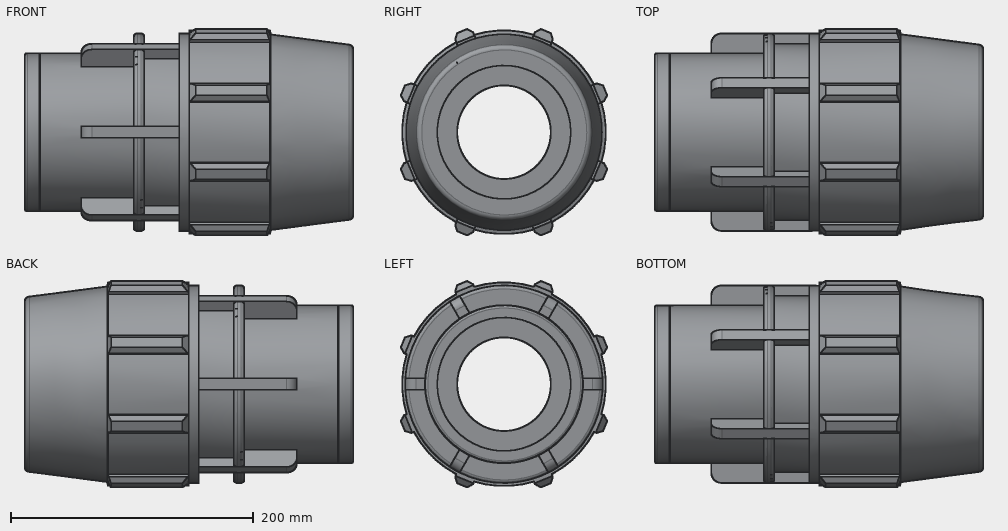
import cadquery as cq

LENGTH = 271.0
GROOVE_START = 12.2
GROOVE_WIDTH = 0.5
RIB_START = 46.5
RING_START = 90.0
RING_WIDTH = 8.7
COLLAR_START = 127.5
NUT_START = 135.8
NUT_END = 202.2
SLEEVE_START = 203.0

WEB_START = 50.5
WEB_END = 58.0

BORE_RADIUS = 77.0 / 2
SOCKET_RADIUS = 110.0 / 2
SPIGOT_RADIUS = 130.4 / 2
COLLAR_RADIUS = 163.0 / 2
NECK_RADIUS = 73.0
NUT_RADIUS = 84.0
SLEEVE_START_RADIUS = 80.8
SLEEVE_END_RADIUS = 71.8

MOUTH_FILLET = 2.2
RING_FILLET = 2.7
SLEEVE_FILLET = 4.3
GROOVE_DEPTH = 0.3

RIB_COUNT = 6
RIB_THICKNESS = 9.5
RIB_FILLET = 8.7
RIB_ROOT = 59.5

LUG_COUNT = 8
LUG_HEIGHT = 90.2
LUG_ROOT = 78.5
LUG_SHOULDER = 86.0
LUG_FRONT_FOOT = 85.0
LUG_REAR_FOOT = 83.0
LUG_TOP_WIDTH = 9.0
LUG_BASE_WIDTH = 16.0
LUG_FRONT_BEVEL = 5.1
LUG_REAR_BEVEL = 2.5


def disc(start, end, radius):
    """Solid cylinder about the X axis between two axial positions."""
    return cq.Workplane("YZ").workplane(offset=start).circle(radius).extrude(end - start)


def around_axis(shape, count, first_angle):
    """Union of equally spaced copies of a shape turned about the X axis."""
    copies = cq.Workplane("YZ")
    for i in range(count):
        angle = first_angle + i * 360 / count
        copies = copies.union(shape.rotate((0, 0, 0), (1, 0, 0), angle))
    return copies


def make_spigot():
    """Spigot tube with a rounded mouth and a hairline groove around it."""
    spigot = disc(0, COLLAR_START, SPIGOT_RADIUS).faces("<X").edges().fillet(MOUTH_FILLET)
    groove_end = GROOVE_START + GROOVE_WIDTH
    groove = disc(GROOVE_START, groove_end, COLLAR_RADIUS).cut(
        disc(GROOVE_START, groove_end, SPIGOT_RADIUS - GROOVE_DEPTH)
    )
    return spigot.cut(groove)


def make_ring():
    """Stop ring around the spigot, rounded on both rims."""
    ring_end = RING_START + RING_WIDTH
    return disc(RING_START, ring_end, COLLAR_RADIUS).edges().fillet(RING_FILLET)


def make_sleeve():
    """Nut body, its rear shoulder and the tapered sleeve, revolved as one profile."""
    profile = (
        cq.Workplane("XY")
        .moveTo(NUT_START, 0)
        .lineTo(NUT_START, NUT_RADIUS)
        .lineTo(NUT_END, NUT_RADIUS)
        .lineTo(SLEEVE_START, SLEEVE_START_RADIUS)
        .lineTo(LENGTH, SLEEVE_END_RADIUS)
        .lineTo(LENGTH, 0)
        .close()
    )
    sleeve = profile.revolve(360, (0, 0, 0), (1, 0, 0))
    return sleeve.faces(">X").edges().fillet(SLEEVE_FILLET)


def make_rib():
    """Rib pointing along +Z, its front corner rounded and its flat top level with the collar."""
    rib = cq.Workplane("XY").box(
        COLLAR_START - RIB_START,
        RIB_THICKNESS,
        COLLAR_RADIUS - RIB_ROOT,
        centered=(False, True, False),
    )
    rib = rib.edges("<X and >Z").fillet(RIB_FILLET)
    return rib.translate((RIB_START, 0, RIB_ROOT))


def make_lug():
    """Lug pointing along +Z: a trapezoid bar with both ends bevelled above the nut."""
    section = (
        cq.Workplane("YZ")
        .workplane(offset=NUT_START)
        .polyline([
            (-LUG_BASE_WIDTH / 2, LUG_ROOT),
            (-LUG_BASE_WIDTH / 2, LUG_SHOULDER),
            (-LUG_TOP_WIDTH / 2, LUG_HEIGHT),
            (LUG_TOP_WIDTH / 2, LUG_HEIGHT),
            (LUG_BASE_WIDTH / 2, LUG_SHOULDER),
            (LUG_BASE_WIDTH / 2, LUG_ROOT),
        ])
        .close()
        .extrude(SLEEVE_START - NUT_START)
    )
    side = (
        cq.Workplane("XZ")
        .polyline([
            (NUT_START, LUG_ROOT),
            (NUT_START, LUG_FRONT_FOOT),
            (NUT_START + LUG_FRONT_BEVEL, LUG_HEIGHT),
            (NUT_END - LUG_REAR_BEVEL, LUG_HEIGHT),
            (SLEEVE_START, LUG_REAR_FOOT),
            (SLEEVE_START, LUG_ROOT),
        ])
        .close()
        .extrude(LUG_BASE_WIDTH, both=True)
    )
    return section.intersect(side)


neck = disc(RING_START + RING_FILLET, COLLAR_START, NECK_RADIUS)
collar = disc(COLLAR_START, NUT_START, COLLAR_RADIUS)
ribs = around_axis(make_rib(), RIB_COUNT, 360 / RIB_COUNT / 2)
lugs = around_axis(make_lug(), LUG_COUNT, 360 / LUG_COUNT / 2)

body = make_spigot().union(make_ring()).union(neck).union(collar).union(make_sleeve())
body = body.union(ribs).union(lugs)

front_socket = disc(0, WEB_START, SOCKET_RADIUS)
rear_socket = disc(WEB_END, LENGTH, SOCKET_RADIUS)
bore = disc(0, LENGTH, BORE_RADIUS)
result = body.cut(front_socket).cut(rear_socket).cut(bore)